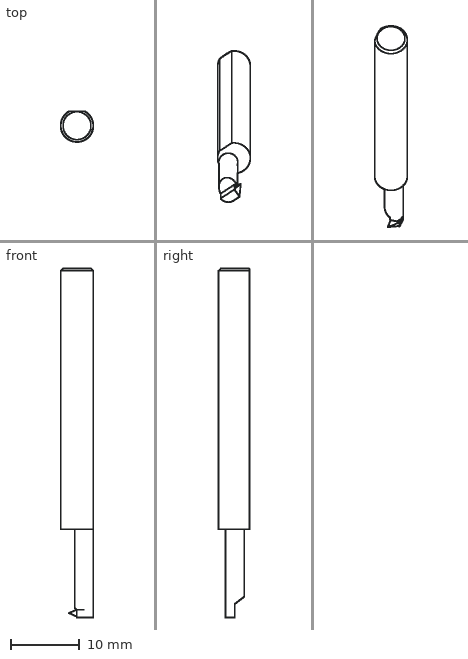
import cadquery as cq

total_length = 50.8
shank_diameter = 4.8
shank_depth = 4.5
end_chamfer = 0.35
shank_radius = shank_diameter / 2
flat_y = shank_depth - shank_radius

neck_length = 12.85
neck_radius = 1.35
neck_x = shank_radius - neck_radius
neck_left = neck_x - neck_radius

relief_start_z = 2.0
relief_end_z = 3.05

head_height = 1.15
head_left = -0.05
undercut_rise = 0.25
tooth_reach = 1.15
tooth_tip_z = 0.65
tooth_bottom_z = 0.15

clearance = 0.5


def make_shank():
    shank = (
        cq.Workplane("XY", origin=(0, 0, neck_length))
        .circle(shank_radius)
        .extrude(total_length - neck_length)
        .faces(">Z")
        .chamfer(end_chamfer)
    )
    flat_cutter = cq.Workplane("XY").box(
        shank_diameter, shank_diameter, total_length, centered=(True, False, False)
    )
    return shank.cut(flat_cutter.translate((0, flat_y, 0)))


def make_neck():
    neck = cq.Workplane("XY").center(neck_x, 0).circle(neck_radius).extrude(neck_length)

    outer_y = neck_radius + clearance
    slope = (relief_end_z - relief_start_z) / neck_radius
    relief = (
        cq.Workplane("YZ", origin=(neck_left - clearance, 0, 0))
        .moveTo(0, -clearance)
        .lineTo(outer_y, -clearance)
        .lineTo(outer_y, relief_start_z + slope * outer_y)
        .lineTo(0, relief_start_z)
        .close()
        .extrude(2 * (neck_radius + clearance))
    )

    outer_x = neck_left - clearance
    undercut_slope = undercut_rise / (head_left - neck_left)
    undercut = (
        cq.Workplane("XZ")
        .moveTo(head_left, -clearance)
        .lineTo(head_left, head_height)
        .lineTo(outer_x, head_height + undercut_slope * (head_left - outer_x))
        .lineTo(outer_x, -clearance)
        .close()
        .extrude(neck_radius + clearance)
    )
    return neck.cut(relief).cut(undercut)


def make_head():
    block = (
        cq.Workplane("XY")
        .moveTo(head_left, 0)
        .lineTo(neck_x, 0)
        .lineTo(neck_x, -neck_radius)
        .lineTo(head_left, -neck_radius)
        .close()
        .extrude(head_height)
    )

    tip_x = head_left - tooth_reach
    profile = (
        cq.Workplane("XZ")
        .moveTo(neck_x, tooth_bottom_z)
        .lineTo(head_left, tooth_bottom_z)
        .lineTo(tip_x, tooth_tip_z)
        .lineTo(head_left, head_height)
        .lineTo(neck_x, head_height)
        .close()
        .extrude(neck_radius)
    )
    plan = (
        cq.Workplane("XY")
        .moveTo(tip_x, 0)
        .lineTo(neck_x, 0)
        .lineTo(neck_x, -neck_radius)
        .lineTo(head_left, -neck_radius)
        .close()
        .extrude(head_height)
    )
    return block.union(profile.intersect(plan))


result = make_shank().union(make_neck()).union(make_head())